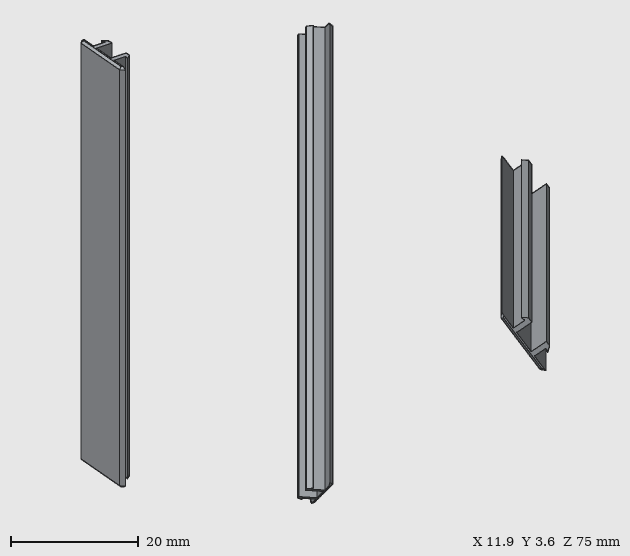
import cadquery as cq
import math

LENGTH = 75.0
WIDTH = 11.9
DEPTH = 3.6

PLATE_THICKNESS = 0.7
END_CHAMFER = 0.4

LEG_INNER = 1.95
LEG_OUTER = 2.85
ROOT_OVERLAP = 0.15
BARB_REACH = 0.7
BARB_TIP_DROP = 0.8
BARB_TIP_HEIGHT = 0.1
BARB_UNDERCUT = 0.15


def extrude_centred(outline, length):
    """Extrude a closed XY outline along Z, centred on Z = 0."""
    return cq.Workplane("XY").polyline(outline).close().extrude(length / 2, both=True)


def plate_outline(inset):
    """Trapezoid plate section with its face and both sides moved inward by inset."""
    back_half = WIDTH / 2 - inset * math.sqrt(2)
    face_half = back_half - (PLATE_THICKNESS - inset)
    return [
        (-face_half, inset),
        (face_half, inset),
        (back_half, PLATE_THICKNESS),
        (-back_half, PLATE_THICKNESS),
    ]


def make_plate():
    """Face plate with sloping sides and chamfered ends."""
    shoulder = LENGTH / 2 - END_CHAMFER
    middle = extrude_centred(plate_outline(0), 2 * shoulder)
    top_end = (
        cq.Workplane("XY")
        .workplane(offset=shoulder)
        .polyline(plate_outline(0))
        .close()
        .workplane(offset=END_CHAMFER)
        .polyline(plate_outline(END_CHAMFER))
        .close()
        .loft(ruled=True)
    )
    return middle.union(top_end).union(top_end.mirror("XY"))


def make_leg():
    """Full-length leg on the +X side, with an outward barb along its top."""
    barb_tip = LEG_OUTER + BARB_REACH
    tip_top = DEPTH - BARB_TIP_DROP
    tip_bottom = tip_top - BARB_TIP_HEIGHT
    root = PLATE_THICKNESS - ROOT_OVERLAP
    outline = [
        (LEG_INNER, root),
        (LEG_OUTER, root),
        (LEG_OUTER, tip_bottom + BARB_UNDERCUT),
        (barb_tip, tip_bottom),
        (barb_tip, tip_top),
        (LEG_OUTER, DEPTH),
        (LEG_INNER, DEPTH),
    ]
    return extrude_centred(outline, LENGTH)


right_leg = make_leg()
left_leg = right_leg.mirror("YZ")
result = make_plate().union(right_leg).union(left_leg)